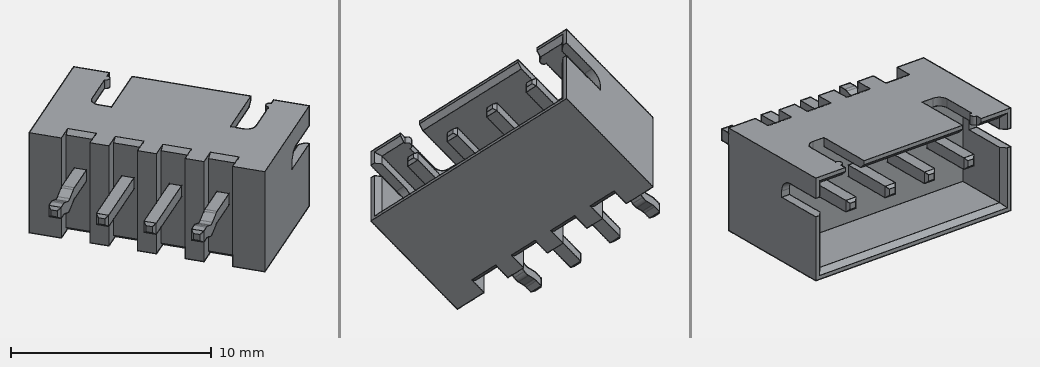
import cadquery as cq


length = 12.4
depth = 7.0
height = 5.75
wall = 0.5
lead_in = 0.27
cavity_depth = 3.24

pin_count = 4
pin_span = 7.5
pin_size = 0.65
pin_axis_height = 3.4
pin_rear_reach = 3.4
pin_mouth_gap = 0.12
tip_chamfer = 0.15

kink_start = 1.24
kink_middle = 2.05
kink_end = 2.75
kink_drop = 0.3
kink_radius = 0.45

groove_width = 1.5
groove_depth = 0.73
groove_bevel_depth = 0.27
groove_bevel_height = 0.22

latch_slot_inset = 1.88
latch_slot_width = 1.19
latch_slot_depth = cavity_depth
latch_slot_radius = 0.5
bump_radius = 0.21
bump_setback = 0.57

end_slot_bottom = 3.58
end_slot_top = 4.61
end_slot_depth = 2.74
end_slot_radius = 0.68

half_length = length / 2
pin_pitch = pin_span / (pin_count - 1)
pin_positions = [i * pin_pitch - pin_span / 2 for i in range(pin_count)]


def block(x_range, y_range, z_range):
    """Box spanning the given coordinate ranges."""
    spans = [high - low for low, high in (x_range, y_range, z_range)]
    corner = (x_range[0], y_range[0], z_range[0])
    return cq.Workplane("XY").box(*spans, centered=False).translate(corner)


def mouth_cavity():
    """Rectangular mating cavity that flares by the lead-in at the mouth."""
    half_width = half_length - wall
    cavity = block((-half_width, half_width), (depth - cavity_depth, depth), (wall, height - wall))
    mouth = (
        cq.Workplane("XZ", origin=(0, depth, height / 2))
        .rect(2 * (half_width + lead_in), height - 2 * wall + 2 * lead_in)
        .workplane(offset=lead_in)
        .rect(2 * half_width, height - 2 * wall)
        .loft(ruled=True)
    )
    return cavity.union(mouth)


def rear_groove(x):
    """Full-height groove around a pin, bevelled deeper at its upper and lower ends."""
    deepest = groove_depth + groove_bevel_depth
    profile = [
        (0, 0),
        (deepest, 0),
        (groove_depth, groove_bevel_height),
        (groove_depth, height - groove_bevel_height),
        (deepest, height),
        (0, height),
    ]
    groove = cq.Workplane("YZ").polyline(profile).close().extrude(groove_width / 2, both=True)
    return groove.translate((x, 0, 0))


def right_latch_slot():
    """Slot in the top wall, rounded at its outer blind corner, with a half-round bump left on its outer side."""
    outer = half_length - latch_slot_inset
    x_range = (outer - latch_slot_width, outer)
    z_range = (height - wall, height)
    slot = block(x_range, (depth - latch_slot_depth, depth), z_range)
    slot = slot.edges("|Z and >X and <Y").fillet(latch_slot_radius)
    bump = (
        cq.Workplane("XY", origin=(outer, depth - bump_setback, height - wall))
        .circle(bump_radius)
        .extrude(wall)
    )
    return slot.cut(bump)


def end_slot():
    """Slot through both end walls, rounded at its upper blind corner."""
    slot = block(
        (-half_length, half_length),
        (depth - end_slot_depth, depth),
        (end_slot_bottom, end_slot_top),
    )
    return slot.edges("|X and >Z and <Y").fillet(end_slot_radius)


def pin_hole(x):
    """Square passage that a pin fills through the rear wall."""
    half = pin_size / 2
    return block(
        (x - half, x + half),
        (0, depth),
        (pin_axis_height - half, pin_axis_height + half),
    )


def make_housing():
    housing = block((-half_length, half_length), (0, depth), (0, height))
    housing = housing.cut(mouth_cavity()).cut(end_slot())
    latch_slot = right_latch_slot()
    housing = housing.cut(latch_slot).cut(latch_slot.mirror("YZ"))
    for x in pin_positions:
        housing = housing.cut(rear_groove(x)).cut(pin_hole(x))
    return housing


def make_straight_pin(x):
    """Square pin with both tips chamfered."""
    half = pin_size / 2
    pin = block(
        (x - half, x + half),
        (-pin_rear_reach, depth - pin_mouth_gap),
        (pin_axis_height - half, pin_axis_height + half),
    )
    return pin.faces("<Y or >Y").chamfer(tip_chamfer)


def make_kinked_pin(x):
    """Square pin with a rounded downward kink in its tail, both tips chamfered."""
    half = pin_size / 2
    front = depth - pin_mouth_gap
    axis = [
        (front, 0),
        (-kink_start, 0),
        (-kink_middle, -kink_drop),
        (-kink_end, 0),
        (-pin_rear_reach, 0),
    ]
    top = [(y, rise + half) for y, rise in axis]
    bottom = [(y, rise - half) for y, rise in reversed(axis)]
    pin = cq.Workplane("YZ").polyline(top + bottom).close().extrude(half, both=True)
    bend_zone = cq.selectors.BoxSelector(
        (-pin_size, -kink_end - half, -height), (pin_size, -kink_start + half, height)
    )
    pin = pin.edges("|X").edges(bend_zone).fillet(kink_radius)
    pin = pin.faces("<Y or >Y").chamfer(tip_chamfer)
    return pin.translate((x, 0, pin_axis_height))


housing = make_housing()
kinked_pins = [make_kinked_pin(x) for x in (pin_positions[0], pin_positions[-1])]
straight_pins = [make_straight_pin(x) for x in pin_positions[1:-1]]

result = cq.Compound.makeCompound(
    [housing.val()] + [pin.val() for pin in kinked_pins + straight_pins]
)